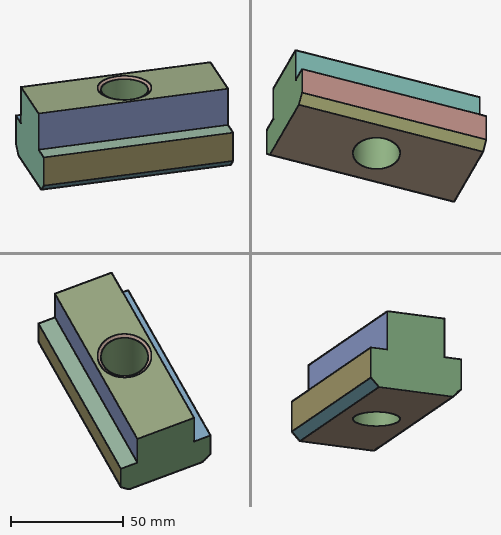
import cadquery as cq

length = 88.0
base_width = 44.0
height = 36.0

base_height = height / 2
neck_width = 27.8
bottom_chamfer = 4.0

hole_diameter = 21.0
countersink_diameter = 24.0
countersink_angle = 120.0


def make_base():
    """Wide lower bar with its long bottom edges chamfered."""
    base = cq.Workplane("XY").box(base_width, length, base_height, centered=(True, True, False))
    return base.faces("<Z").edges("|Y").chamfer(bottom_chamfer)


def make_neck():
    """Narrow upper bar, standing on the base."""
    return (
        cq.Workplane("XY")
        .workplane(offset=base_height)
        .box(neck_width, length, height - base_height, centered=(True, True, False))
    )


body = make_base().union(make_neck())
result = (
    body.faces(">Z")
    .workplane(origin=(0, 0, height))
    .cskHole(hole_diameter, countersink_diameter, countersink_angle)
)